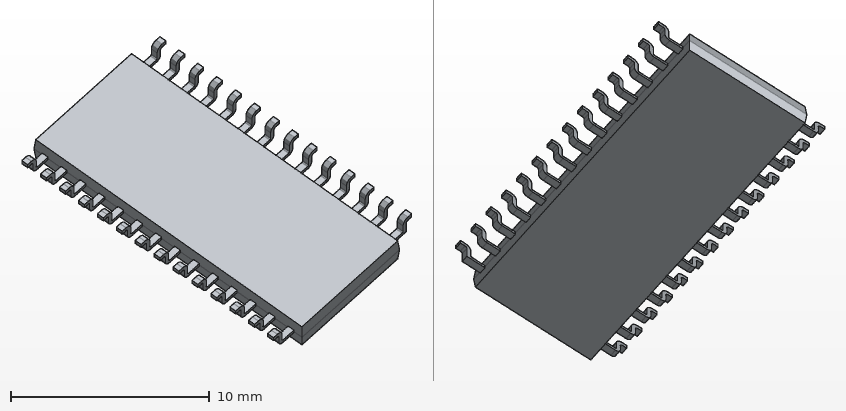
import cadquery as cq

body_length = 18.0
body_width = 7.4
body_height = 1.5
half_height = body_height / 2
edge_inset = 0.065

leads_per_side = 14
lead_row_length = 16.5
lead_pitch = lead_row_length / (leads_per_side - 1)
lead_width = 0.4

lead_span = 10.48
lead_rise = 0.25
lead_thickness = 0.25
shoulder_thickness = 0.2
shoulder_drop = 0.09
lead_embed = 0.18
foot_flat_length = 0.29
foot_bend_diameter = 0.74
foot_bend_outer_radius = foot_bend_diameter / 2
foot_bend_inner_radius = foot_bend_outer_radius - lead_thickness
shoulder_bend_outer_radius = 0.3
shoulder_bend_inner_radius = 0.07

tip_y = lead_span / 2
upright_inner_y = tip_y - foot_flat_length - foot_bend_outer_radius
upright_outer_y = upright_inner_y + lead_thickness
root_y = body_width / 2 - lead_embed
shoulder_bottom_z = -shoulder_drop
shoulder_top_z = shoulder_bottom_z + shoulder_thickness
foot_top_z = half_height + lead_rise
foot_bottom_z = foot_top_z - lead_thickness


def body_half(direction):
    """One half of the body, narrowing from the parting plane along +Z (1) or -Z (-1)."""
    return (
        cq.Workplane("XY")
        .rect(body_length, body_width)
        .workplane(offset=direction * half_height)
        .rect(body_length - 2 * edge_inset, body_width - 2 * edge_inset)
        .loft(ruled=True)
    )


def round_bend(lead, y, z, radius):
    """Round the lead edge that runs along X through the given Y and Z."""
    reach = shoulder_thickness / 4
    edge_box = cq.selectors.BoxSelector(
        (-lead_width, y - reach, z - reach),
        (lead_width, y + reach, z + reach),
    )
    return lead.edges("|X").edges(edge_box).fillet(radius)


def make_lead(square_heel=False):
    """Lead on the +Y side, centred on X = 0; a square heel leaves its lower outer corner sharp."""
    outline = [
        (root_y, shoulder_bottom_z),
        (upright_outer_y, shoulder_bottom_z),
        (upright_outer_y, foot_bottom_z),
        (tip_y, foot_bottom_z),
        (tip_y, foot_top_z),
        (upright_inner_y, foot_top_z),
        (upright_inner_y, shoulder_top_z),
        (root_y, shoulder_top_z),
    ]
    lead = cq.Workplane("YZ").polyline(outline).close().extrude(lead_width / 2, both=True)
    lead = round_bend(lead, upright_inner_y, foot_top_z, foot_bend_outer_radius)
    lead = round_bend(lead, upright_outer_y, foot_bottom_z, foot_bend_inner_radius)
    lead = round_bend(lead, upright_inner_y, shoulder_top_z, shoulder_bend_inner_radius)
    if not square_heel:
        lead = round_bend(lead, upright_outer_y, shoulder_bottom_z, shoulder_bend_outer_radius)
    return lead


rounded_lead = make_lead()
front_row = [rounded_lead.mirror("XZ")] * leads_per_side
back_row = [rounded_lead] * (leads_per_side - 1) + [make_lead(square_heel=True)]

result = body_half(1).union(body_half(-1))
for row in (front_row, back_row):
    for index, lead in enumerate(row):
        lead_x = index * lead_pitch - lead_row_length / 2
        result = result.union(lead.translate((lead_x, 0, 0)))